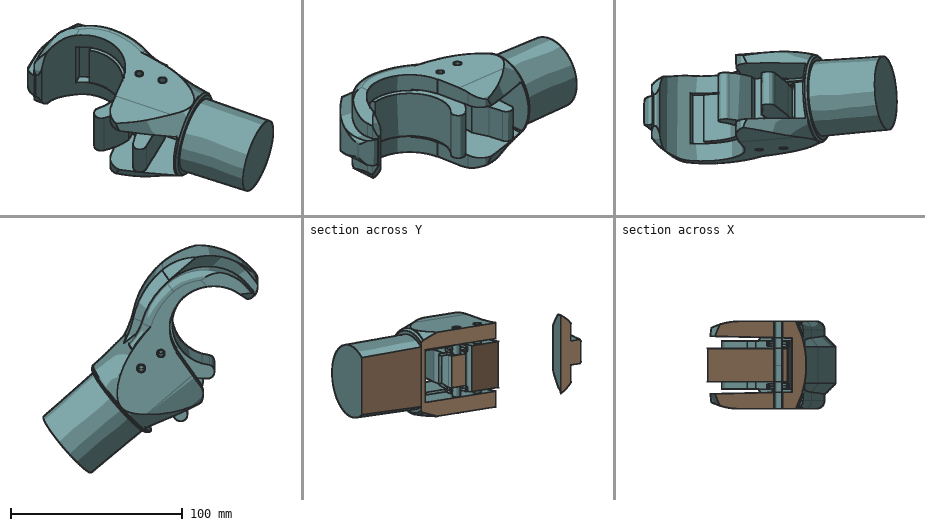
import cadquery as cq
import math


HALF_WIDTH = 25.51
REACH = 90.0

COLLAR_START = 70.8
COLLAR_EDGE = 71.6
COLLAR_END = 72.9
COLLAR_CHAMFER_RADIUS = 24.2
SPIGOT_END = 112.96
SPIGOT_ROOT_RADIUS = 22.1
SPIGOT_TIP_RADIUS = 21.5

SHOULDER_ROOT_RADIUS = 25.4
SHOULDER_LENGTH = 47.0
SHOULDER_SECTIONS = 4
UPPER_SLOPE = 0.04
LOWER_SLOPE = 0.17
SIDE_SLOPE = 0.3
SIDE_CURVATURE = 0.0129

CHEEK_LEFT = 25.5
CHEEK_TOP = 30.0
CHEEK_FRONT_TOP = 5.0
CHEEK_FRONT_BOTTOM = (28.2, -19.5)
CHEEK_CORNER_MID = (30.9, -26.2)
CHEEK_BOTTOM = (37.5, -29.4)
CHEEK_BEND_Y = -12.5
CHEEK_BEND_RADIUS = 36.5
CHEEK_BEND_ANGLE = 32

BORE_CENTRE = (0.4, 0.3)
BORE_RADIUS = 25.1

PLATE_CENTRE = (3.0, 4.5)
PLATE_RADIUS = 32.6
PLATE_FILLET = 5.0
PLATE_SHOULDER = (29.5, 29.3)
PLATE_NECK = (44.0, 24.5)
PLATE_TIP_MID = (-27.2, -3.3)
PLATE_TIP_INNER = (-24.6, 0.0)
TIP_TRIM_START = -13.5
TIP_TRIM_RADIUS = 18.5
TIP_CUT_BEHIND = -10.0
TIP_CUT_INNER = (-3.4, 9.0)
TIP_CUT_MID = (0.3, 17.0)
TIP_CUT_OUTER = (4.8, 22.0)
TIP_CUT_TOP = 17.7

RIB_CENTRE = (1.8, 5.88)
RIB_RADIUS = 37.7
RIB_BACK_END = (33.0, 33.2)
RIB_NECK = (47.0, 25.6)
RIB_TIP_MID = (-33.7, -0.6)
RIB_TIP = (-28.5, -3.5)
RIB_TIP_INNER_MID = (-25.6, -1.8)
RIB_TIP_INNER = (-24.6, 2.0)
RIB_FLANK_HEIGHT = 9.5
RIB_CREST_HALF = 10.6
RIB_FOOT = (37.3, 16.9)
RIB_WAIST = (27.0, 11.0)
RIB_TIP_HALF = 8.6
RIB_NOSE_HALF = 4.2
RIB_NOSE_LENGTH = 3.5
RIB_NOSE_BASE_HALF = 9.2
RIB_NOSE_MID = (-34.8, 7.0)

SLOT_CEILING = 18.0
SLOT_DEPTH = 60.0
SLOT_START = 8.0
SLOT_END = 69.6
SLOT_HALF = 15.65
SLOT_DRAFT = 1.25
JAW_POCKET_HALF = 15.1
JAW_POCKET_RADIUS = 29.5
JAW_POCKET_LEFT = -13.35

JAW_PIN_PLACE = (32.8, 9.1)
JAW_PIN_RADIUS = 2.35
PAWL_PIN_PLACE = (47.3, 10.0)
PAWL_PIN_RADIUS = 2.5
PIN_WALL = 0.5

JAW_HALF = 14.0
JAW_INNER_RADIUS = 24.1
JAW_OUTER_RADIUS = 28.5
JAW_TIP_X = -5.6
JAW_HUB_RADIUS = 7.0
JAW_TAIL_RADIUS = 4.2
JAW_TAIL_CENTRE = (21.2, -18.7)
JAW_INNER_END_ANGLE = -32
JAW_BACK_MID = (29.8, -15.5)
JAW_BACK_CORNER = (33.8, -8.0)
JAW_LEDGE_Y = -3.0

PAWL_HALF = 9.75
PAWL_HUB_RADIUS = 5.6
PAWL_TAIL_RADIUS = 4.0
PAWL_TAIL_CENTRE = (50.3, -28.4)
PAWL_TAIL_START_ANGLE = 192.7
PAWL_HEEL = (40.2, -10.0)
PAWL_KNEE = (44.3, -20.0)
PAWL_BACK_TOP = -4.0

WIRE_RADIUS = 0.75
COIL_RADIUS = 5.85
COIL_TURNS = 1.75
COIL_PITCH = 1.6
COIL_CLEARANCE = 0.12
COIL_START_Z = PAWL_HALF + WIRE_RADIUS + COIL_CLEARANCE
SPRING_LEG_END = 64.9
BRIDGE_X = 55.1
BRIDGE_Y = 4.5
BRIDGE_HALF = 8.8


def on_circle(centre, radius, degrees):
    angle = math.radians(degrees)
    return (centre[0] + radius * math.cos(angle), centre[1] + radius * math.sin(angle))


def prism(outline, half_width):
    """Extrude a closed XY outline by half_width to both sides of the XY plane."""
    return outline.extrude(half_width, both=True)


def cylinder(place, radius, half_width):
    return prism(cq.Workplane("XY").center(*place).circle(radius), half_width)


def half_section(distance, height_slope, first_angle):
    """Half-elliptic section of the shoulder at a distance from the collar, towards the hook."""
    side = SHOULDER_ROOT_RADIUS + SIDE_SLOPE * distance + SIDE_CURVATURE * distance**2
    height = SHOULDER_ROOT_RADIUS + height_slope * distance
    return (
        cq.Workplane("YZ", origin=(COLLAR_EDGE - distance, 0, 0))
        .ellipseArc(height, side, first_angle, first_angle + 180, startAtCurrent=False)
        .close()
        .val()
    )


def half_shoulder(height_slope, first_angle):
    step = SHOULDER_LENGTH / (SHOULDER_SECTIONS - 1)
    sections = [half_section(i * step, height_slope, first_angle) for i in range(SHOULDER_SECTIONS)]
    return cq.Workplane(obj=cq.Solid.makeLoft(sections))


def shoulder():
    upper = half_shoulder(UPPER_SLOPE, -90)
    lower = half_shoulder(LOWER_SLOPE, 90)
    return upper.union(lower)


def cheek_profile():
    """Side profile that bends both cheeks inwards near the bottom."""
    bend_centre = (CHEEK_BEND_Y, HALF_WIDTH - CHEEK_BEND_RADIUS)
    mid_y, mid_z = on_circle(bend_centre, CHEEK_BEND_RADIUS, 90 + CHEEK_BEND_ANGLE / 2)
    low_y, low_z = on_circle(bend_centre, CHEEK_BEND_RADIUS, 90 + CHEEK_BEND_ANGLE)
    return (
        cq.Workplane("YZ")
        .moveTo(REACH, HALF_WIDTH)
        .lineTo(CHEEK_BEND_Y, HALF_WIDTH)
        .threePointArc((mid_y, mid_z), (low_y, low_z))
        .lineTo(low_y, -low_z)
        .threePointArc((mid_y, -mid_z), (CHEEK_BEND_Y, -HALF_WIDTH))
        .lineTo(REACH, -HALF_WIDTH)
        .close()
        .extrude(REACH)
    )


def cheeks():
    outline = (
        cq.Workplane("XY")
        .moveTo(CHEEK_LEFT, CHEEK_TOP)
        .lineTo(CHEEK_LEFT, CHEEK_FRONT_TOP)
        .lineTo(*CHEEK_FRONT_BOTTOM)
        .threePointArc(CHEEK_CORNER_MID, CHEEK_BOTTOM)
        .lineTo(COLLAR_EDGE, CHEEK_BOTTOM[1])
        .lineTo(COLLAR_EDGE, CHEEK_TOP)
        .close()
    )
    return prism(outline, HALF_WIDTH).intersect(cheek_profile()).intersect(shoulder())


def collar():
    return (
        cq.Workplane("XY")
        .moveTo(COLLAR_START, 0)
        .lineTo(COLLAR_START, HALF_WIDTH)
        .lineTo(COLLAR_EDGE, HALF_WIDTH)
        .lineTo(COLLAR_END, COLLAR_CHAMFER_RADIUS)
        .lineTo(COLLAR_END, 0)
        .close()
        .revolve(360, (0, 0, 0), (1, 0, 0))
    )


def tip_trim():
    """Front profile that rounds the side plates towards the hook tip."""
    side_x = TIP_TRIM_START - TIP_TRIM_RADIUS
    centre = (TIP_TRIM_START, HALF_WIDTH - TIP_TRIM_RADIUS)
    upper_mid = on_circle(centre, TIP_TRIM_RADIUS, 135)
    return (
        cq.Workplane("XZ", origin=(0, REACH, 0))
        .moveTo(REACH, HALF_WIDTH)
        .lineTo(TIP_TRIM_START, HALF_WIDTH)
        .threePointArc(upper_mid, (side_x, centre[1]))
        .lineTo(side_x, -centre[1])
        .threePointArc((upper_mid[0], -upper_mid[1]), (TIP_TRIM_START, -HALF_WIDTH))
        .lineTo(REACH, -HALF_WIDTH)
        .close()
        .extrude(2 * REACH)
    )


def tip_corner_cut():
    """Waste outside the rounded corner of each side plate at the hook tip."""
    corner = (
        cq.Workplane("YZ", origin=(TIP_CUT_BEHIND, 0, 0))
        .moveTo(*TIP_CUT_INNER)
        .threePointArc(TIP_CUT_MID, TIP_CUT_OUTER)
        .lineTo(TIP_CUT_TOP, HALF_WIDTH)
        .lineTo(-TIP_CUT_TOP, HALF_WIDTH)
        .lineTo(-TIP_CUT_TOP, TIP_CUT_INNER[1])
        .close()
        .extrude(-REACH)
    )
    return corner.union(corner.mirror("XY"))


def hook_plate():
    left = on_circle(PLATE_CENTRE, PLATE_RADIUS, 180)
    outline = (
        cq.Workplane("XY")
        .moveTo(left[0], 0)
        .lineTo(*left)
        .threePointArc(
            on_circle(PLATE_CENTRE, PLATE_RADIUS, 135), on_circle(PLATE_CENTRE, PLATE_RADIUS, 90)
        )
        .tangentArcPoint(PLATE_SHOULDER, relative=False)
        .tangentArcPoint(PLATE_NECK, relative=False)
        .lineTo(PLATE_NECK[0], CHEEK_FRONT_TOP)
        .lineTo(*PLATE_TIP_INNER)
        .threePointArc(PLATE_TIP_MID, (left[0], 0))
        .close()
    )
    plate = prism(outline, HALF_WIDTH)
    outer_edges = plate.faces("|Z").edges(
        cq.selectors.BoxSelector((-REACH, PLATE_CENTRE[1] + 1, -REACH), (PLATE_NECK[0] - 1, REACH, REACH))
    )
    outer_edges = outer_edges.filter(lambda edge: edge.geomType() == "CIRCLE")
    return outer_edges.fillet(PLATE_FILLET).intersect(tip_trim()).cut(tip_corner_cut())


def rib_tip_profile():
    """Side profile of the rib towards the tip: a waisted flank with 45 degree slopes at the crest."""
    crest_y = RIB_CENTRE[1] + RIB_RADIUS
    upper = (
        cq.Workplane("YZ", origin=(RIB_CENTRE[0], 0, 0))
        .moveTo(RIB_TIP[1], 0)
        .lineTo(RIB_TIP[1], RIB_TIP_HALF)
        .threePointArc(RIB_WAIST, RIB_FOOT)
        .lineTo(crest_y, RIB_CREST_HALF)
        .lineTo(crest_y, 0)
        .close()
        .extrude(-REACH)
    )
    return upper.union(upper.mirror("XY"))


def rib_nose():
    """Front profile that narrows the rib at its outermost point."""
    nose_x = RIB_CENTRE[0] - RIB_RADIUS - 0.1
    base_x = nose_x + RIB_NOSE_LENGTH
    return (
        cq.Workplane("XZ", origin=(0, REACH, 0))
        .moveTo(nose_x, RIB_NOSE_HALF)
        .threePointArc(RIB_NOSE_MID, (base_x, RIB_NOSE_BASE_HALF))
        .lineTo(base_x, HALF_WIDTH)
        .lineTo(REACH, HALF_WIDTH)
        .lineTo(REACH, -HALF_WIDTH)
        .lineTo(base_x, -HALF_WIDTH)
        .lineTo(base_x, -RIB_NOSE_BASE_HALF)
        .threePointArc((RIB_NOSE_MID[0], -RIB_NOSE_MID[1]), (nose_x, -RIB_NOSE_HALF))
        .close()
        .extrude(2 * REACH)
    )


def rib_tip():
    crest = on_circle(RIB_CENTRE, RIB_RADIUS, 90)
    outermost = on_circle(RIB_CENTRE, RIB_RADIUS, 180)
    outline = (
        cq.Workplane("XY")
        .moveTo(*outermost)
        .threePointArc(on_circle(RIB_CENTRE, RIB_RADIUS, 135), crest)
        .lineTo(*RIB_CENTRE)
        .lineTo(*RIB_TIP_INNER)
        .threePointArc(RIB_TIP_INNER_MID, RIB_TIP)
        .threePointArc(RIB_TIP_MID, outermost)
        .close()
    )
    return prism(outline, HALF_WIDTH).intersect(rib_tip_profile()).intersect(rib_nose())


def rib_neck():
    """Rib from its highest point back to the shoulder, with 45 degree flanks."""

    def outline(height):
        return (
            cq.Workplane("XY", origin=(0, 0, height))
            .moveTo(RIB_CENTRE[0] - RIB_FLANK_HEIGHT, RIB_CENTRE[1] + RIB_RADIUS)
            .lineTo(*on_circle(RIB_CENTRE, RIB_RADIUS, 90))
            .tangentArcPoint(RIB_BACK_END, relative=False)
            .tangentArcPoint(RIB_NECK, relative=False)
            .lineTo(RIB_NECK[0], CHEEK_FRONT_TOP)
            .lineTo(RIB_CENTRE[0] - RIB_FLANK_HEIGHT, CHEEK_FRONT_TOP)
            .close()
        )

    flank = outline(RIB_CREST_HALF).extrude(RIB_FLANK_HEIGHT, taper=45)
    crest = prism(outline(0), RIB_CREST_HALF)
    behind_crest = (
        cq.Workplane("XY")
        .box(REACH, REACH, REACH, centered=(False, True, True))
        .translate((RIB_CENTRE[0], 0, 0))
    )
    return crest.union(flank).union(flank.mirror("XY")).intersect(behind_crest)


def slot():
    """Drafted slot open at the bottom, with a round pocket behind the jaw."""
    length = SLOT_END - SLOT_START
    main_slot = (
        cq.Workplane("XZ", origin=(SLOT_START + length / 2, SLOT_CEILING, 0))
        .rect(length, 2 * SLOT_HALF)
        .extrude(SLOT_DEPTH, taper=-SLOT_DRAFT)
    )
    pocket_limit = (
        cq.Workplane("XY")
        .box(REACH, REACH, REACH, centered=(False, False, True))
        .translate((JAW_POCKET_LEFT, 0, 0))
    )
    pocket = cylinder((0, 0), JAW_POCKET_RADIUS, JAW_POCKET_HALF).intersect(pocket_limit)
    return main_slot.union(pocket)


def make_housing():
    body = cheeks().union(collar()).union(hook_plate()).union(rib_neck()).union(rib_tip())
    body = body.cut(cylinder(BORE_CENTRE, BORE_RADIUS, REACH)).cut(slot())
    body = body.cut(cylinder(JAW_PIN_PLACE, JAW_PIN_RADIUS, REACH))
    return body.cut(cylinder(PAWL_PIN_PLACE, PAWL_PIN_RADIUS, REACH))


def make_spigot():
    return (
        cq.Workplane("XY")
        .moveTo(COLLAR_END, 0)
        .lineTo(COLLAR_END, SPIGOT_ROOT_RADIUS)
        .lineTo(SPIGOT_END, SPIGOT_TIP_RADIUS)
        .lineTo(SPIGOT_END, 0)
        .close()
        .revolve(360, (0, 0, 0), (1, 0, 0))
    )


def make_jaw():
    tip_inner = (JAW_TIP_X, math.sqrt(JAW_INNER_RADIUS**2 - JAW_TIP_X**2))
    tip_outer = (JAW_TIP_X, math.sqrt(JAW_OUTER_RADIUS**2 - JAW_TIP_X**2))
    hub_right = on_circle(JAW_PIN_PLACE, JAW_HUB_RADIUS, 0)
    hub_top = on_circle(JAW_PIN_PLACE, JAW_HUB_RADIUS, 100)
    outline = (
        cq.Workplane("XY")
        .moveTo(*tip_inner)
        .threePointArc(
            on_circle((0, 0), JAW_INNER_RADIUS, 30),
            on_circle((0, 0), JAW_INNER_RADIUS, JAW_INNER_END_ANGLE),
        )
        .lineTo(*on_circle(JAW_TAIL_CENTRE, JAW_TAIL_RADIUS, 145))
        .threePointArc(
            on_circle(JAW_TAIL_CENTRE, JAW_TAIL_RADIUS, 230),
            on_circle(JAW_TAIL_CENTRE, JAW_TAIL_RADIUS, 315),
        )
        .threePointArc(JAW_BACK_MID, JAW_BACK_CORNER)
        .lineTo(JAW_BACK_CORNER[0], JAW_LEDGE_Y)
        .lineTo(hub_right[0], JAW_LEDGE_Y)
        .lineTo(*hub_right)
        .threePointArc(on_circle(JAW_PIN_PLACE, JAW_HUB_RADIUS, 50), hub_top)
        .lineTo(*on_circle((0, 0), JAW_OUTER_RADIUS, 38))
        .threePointArc(on_circle((0, 0), JAW_OUTER_RADIUS, 70), tip_outer)
        .close()
    )
    return prism(outline, JAW_HALF).cut(cylinder(JAW_PIN_PLACE, JAW_PIN_RADIUS, REACH))


def make_pawl():
    hub_right = on_circle(PAWL_PIN_PLACE, PAWL_HUB_RADIUS, 0)
    tail_right = on_circle(PAWL_TAIL_CENTRE, PAWL_TAIL_RADIUS, 0)
    outline = (
        cq.Workplane("XY")
        .moveTo(*hub_right)
        .threePointArc(
            on_circle(PAWL_PIN_PLACE, PAWL_HUB_RADIUS, 90), on_circle(PAWL_PIN_PLACE, PAWL_HUB_RADIUS, 180)
        )
        .lineTo(*PAWL_HEEL)
        .lineTo(*PAWL_KNEE)
        .lineTo(*on_circle(PAWL_TAIL_CENTRE, PAWL_TAIL_RADIUS, PAWL_TAIL_START_ANGLE))
        .threePointArc(on_circle(PAWL_TAIL_CENTRE, PAWL_TAIL_RADIUS, 270), tail_right)
        .lineTo(tail_right[0], PAWL_BACK_TOP)
        .close()
    )
    return prism(outline, PAWL_HALF).cut(cylinder(PAWL_PIN_PLACE, PAWL_PIN_RADIUS, REACH))


def make_pin(place, radius):
    return cylinder(place, radius, HALF_WIDTH).cut(cylinder(place, radius - PIN_WALL, REACH))


def straight_wire(start, end):
    """Straight round wire between two points."""
    start = cq.Vector(*start)
    direction = cq.Vector(*end) - start
    rod = cq.Solid.makeCylinder(WIRE_RADIUS, direction.Length, start, direction)
    return cq.Workplane(obj=rod)


def ball(place):
    """Ball that joins two stretches of wire at a bend."""
    return cq.Workplane("XY").sphere(WIRE_RADIUS).translate(place)


def coil():
    helix = cq.Wire.makeHelix(COIL_PITCH, COIL_PITCH * COIL_TURNS, COIL_RADIUS)
    section = cq.Workplane("XZ").center(COIL_RADIUS, 0).circle(WIRE_RADIUS)
    place = (PAWL_PIN_PLACE[0], PAWL_PIN_PLACE[1], COIL_START_Z)
    return section.sweep(cq.Workplane(obj=helix), isFrenet=True).translate(place)


def make_spring():
    """Two mirrored coils with a leg each, joined by a bridge behind the pawl."""
    coil_start = (PAWL_PIN_PLACE[0] + COIL_RADIUS, PAWL_PIN_PLACE[1], COIL_START_Z)
    leg_y = PAWL_PIN_PLACE[1] - COIL_RADIUS
    leg_z = COIL_START_Z + COIL_PITCH * COIL_TURNS
    bridge_corner = (BRIDGE_X, BRIDGE_Y, BRIDGE_HALF)
    half = (
        coil()
        .union(straight_wire((PAWL_PIN_PLACE[0], leg_y, leg_z), (SPRING_LEG_END, leg_y, leg_z)))
        .union(ball(coil_start))
        .union(straight_wire(coil_start, bridge_corner))
        .union(ball(bridge_corner))
        .union(straight_wire(bridge_corner, (BRIDGE_X, BRIDGE_Y, 0)))
    )
    return half.union(half.mirror("XY"))


housing = make_housing()
spigot = make_spigot()
jaw = make_jaw()
pawl = make_pawl()
spring = make_spring()
pins = [
    make_pin(place, radius)
    for place, radius in ((JAW_PIN_PLACE, JAW_PIN_RADIUS), (PAWL_PIN_PLACE, PAWL_PIN_RADIUS))
]

result = cq.Compound.makeCompound(
    [housing.val(), spigot.val(), jaw.val(), pawl.val(), spring.val(), *[pin.val() for pin in pins]]
)